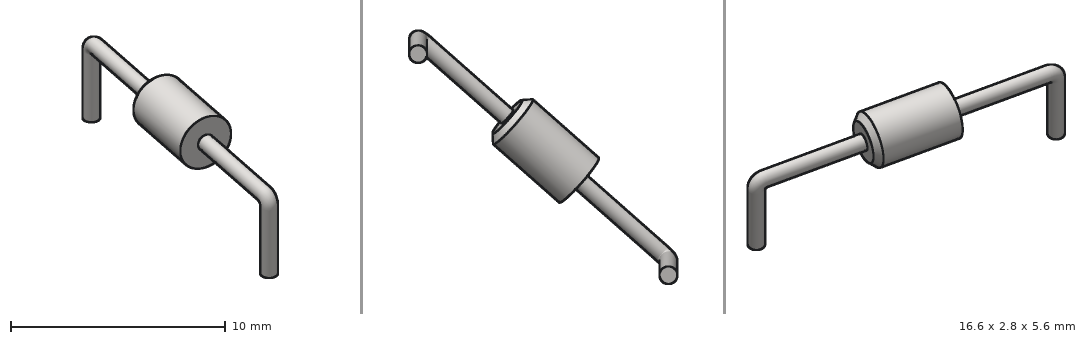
import cadquery as cq

overall_length = 16.55
case_diameter = 2.8
case_length = 4.5
case_chamfer = 0.35
lead_diameter = 0.85
overall_height = 5.6
inner_bend_radius = 0.008

case_radius = case_diameter / 2
lead_radius = lead_diameter / 2
bend_radius = lead_radius + inner_bend_radius
case_end_x = case_length / 2
leg_center_x = overall_length / 2 - lead_radius
bend_start_x = leg_center_x - bend_radius
lead_bottom_z = case_radius - overall_height
leg_length = -bend_radius - lead_bottom_z


def make_case():
    """Cylindrical case, chamfered around its -X end only."""
    case = cq.Workplane("YZ", origin=(-case_end_x, 0, 0)).circle(case_radius).extrude(case_length)
    return case.faces("<X").edges().chamfer(case_chamfer)


def make_lead(turn_angle):
    """Lead bent down at +X, then turned about Z to the chosen end of the case."""
    straight = (
        cq.Workplane("YZ", origin=(case_end_x, 0, 0))
        .circle(lead_radius)
        .extrude(bend_start_x - case_end_x)
    )
    elbow = (
        cq.Workplane("YZ", origin=(bend_start_x, 0, 0))
        .circle(lead_radius)
        .revolve(90, (-bend_radius, -bend_radius), (bend_radius, -bend_radius))
    )
    leg = (
        cq.Workplane("XY", origin=(leg_center_x, 0, lead_bottom_z))
        .circle(lead_radius)
        .extrude(leg_length)
    )
    lead = straight.union(elbow).union(leg)
    return lead.rotate((0, 0, 0), (0, 0, 1), turn_angle)


case = make_case()
leads = [make_lead(turn_angle) for turn_angle in (0, 180)]

result = cq.Compound.makeCompound([case.val(), *[lead.solids().val() for lead in leads]])